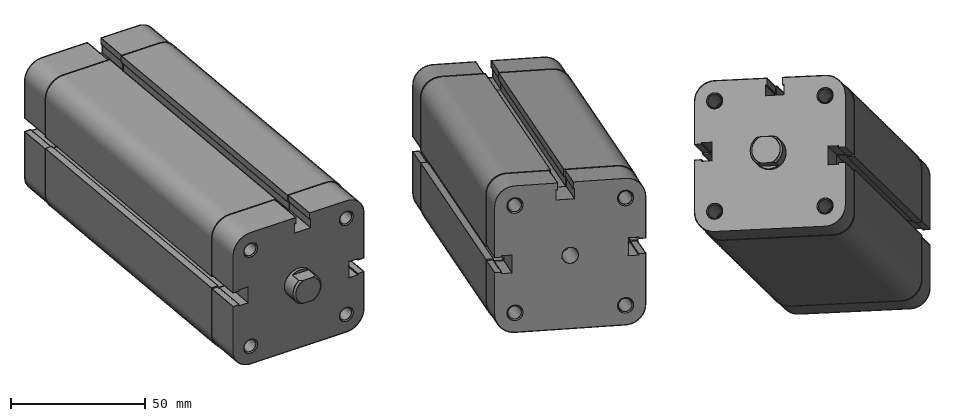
import cadquery as cq

profile_size = 58.0
cap_size = 57.5
cap_length = 14.8
total_length = 152.5
rod_projection = 6.7
profile_length = total_length - rod_projection - 2 * cap_length
front_cap_start = cap_length + profile_length
rod_start = front_cap_start + cap_length

bolt_pitch = 42.1
bolt_diameter = 5.2
bolt_chamfer = 0.5

slot_offset = 1.8
slot_floor_distance = 22.1
slot_shoulder_distance = 26.1
cap_slot_channel_width = 7.0
profile_slot_channel_width = 6.5
cap_slot_mouth_width = 6.0
profile_slot_mouth_width = 5.0
slot_face_angles = (0, 90, -90)

port_diameter = 6.3

rod_diameter = 12.4
rod_across_flats = 10.0
rod_collar_length = 1.4
rod_chamfer = 0.8


def box_between(x_start, length, y_centre, width, z_bottom, z_top):
    """Box from x_start along +X, centred on y_centre and spanning the given heights."""
    return (
        cq.Workplane("XY")
        .box(length, width, z_top - z_bottom, centered=(False, True, False))
        .translate((x_start, y_centre, z_bottom))
    )


def slot_cutter(x_start, length, size, channel_width, mouth_width):
    """Undercut slot open to the top face, shifted towards +Y."""
    channel = box_between(
        x_start, length, slot_offset, channel_width, slot_floor_distance, slot_shoulder_distance
    )
    mouth = box_between(x_start, length, slot_offset, mouth_width, slot_floor_distance, size / 2)
    return channel.union(mouth)


def make_section(x_start, length, size, channel_width, mouth_width):
    """Rounded square bar along X with four bolt holes and three sensor slots."""
    corner_radius = (size - bolt_pitch) / 2
    section = (
        cq.Workplane("YZ", origin=(x_start, 0, 0))
        .rect(size, size)
        .extrude(length)
        .edges("|X")
        .fillet(corner_radius)
    )
    bolt_holes = (
        cq.Workplane("YZ", origin=(x_start, 0, 0))
        .rect(bolt_pitch, bolt_pitch, forConstruction=True)
        .vertices()
        .circle(bolt_diameter / 2)
        .extrude(length)
    )
    section = section.cut(bolt_holes)
    slot = slot_cutter(x_start, length, size, channel_width, mouth_width)
    for angle in slot_face_angles:
        section = section.cut(slot.rotate((0, 0, 0), (1, 0, 0), angle))
    return section


def make_cap(x_start, outer_face_x):
    """End cap whose bolt holes are chamfered at its outer face."""
    cap = make_section(x_start, cap_length, cap_size, cap_slot_channel_width, cap_slot_mouth_width)
    outer_face_edges = cq.selectors.BoxSelector(
        (outer_face_x - bolt_chamfer, -cap_size, -cap_size),
        (outer_face_x + bolt_chamfer, cap_size, cap_size),
    )
    smallest_radius = cq.selectors.RadiusNthSelector(0)
    return cap.edges(outer_face_edges).edges(smallest_radius).chamfer(bolt_chamfer)


def make_rear_cap():
    """End cap with a central port through it, closed off by the profile behind."""
    port = cq.Workplane("YZ").circle(port_diameter / 2).extrude(cap_length)
    return make_cap(0, 0).cut(port)


def make_profile():
    """Extruded cylinder profile between the two caps."""
    return make_section(
        cap_length, profile_length, profile_size, profile_slot_channel_width, profile_slot_mouth_width
    )


def make_rod_end():
    """Chamfered rod end standing on the front cap, with two wrench flats facing up and down."""
    rod = (
        cq.Workplane("YZ", origin=(rod_start, 0, 0))
        .circle(rod_diameter / 2)
        .extrude(rod_projection)
        .faces(">X")
        .chamfer(rod_chamfer)
    )
    flats_start = rod_start + rod_collar_length
    flats_length = rod_projection - rod_collar_length
    half_flats = rod_across_flats / 2
    flat_cutter = box_between(flats_start, flats_length, 0, rod_diameter, half_flats, rod_diameter)
    return rod.cut(flat_cutter).cut(flat_cutter.mirror("XY"))


rear_cap = make_rear_cap()
profile = make_profile()
front_cap = make_cap(front_cap_start, rod_start)
rod_end = make_rod_end()

result = cq.Compound.makeCompound([rear_cap.val(), profile.val(), front_cap.val(), rod_end.val()])